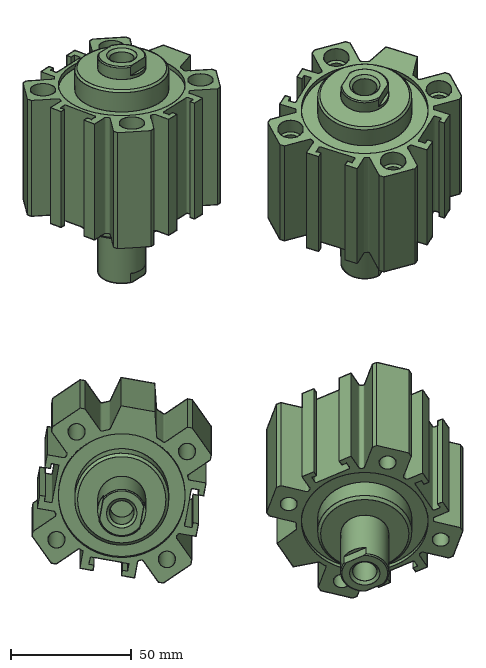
import cadquery as cq
import math

body_width = 67.0
body_height = 55.0
core_radius = 28.5
root_fillet = 0.8

lug_width = 16.9
lug_reach = 40.4
bolt_spacing = 46.6
bolt_dia = 7.0
bolt_head_dia = 10.5
bolt_head_depth = 6.7

rail_width = 23.1
slot_opening = 11.9
slot_width = 16.3
slot_lip = 2.4
slot_depth = 5.6
slot_fillet = 0.5

ridge_reach = 37.5
ridge_top_width = 14.2
ridge_root_width = 20.8
ridge_root_reach = 24.7

recess_dia = 52.5
recess_depth = 2.1
collar_dia = 39.0
collar_height = 8.0
top_collar_chamfer = 0.9
bottom_collar_chamfer = 1.2

rod_dia = 20.0
rod_length = 103.0
rod_top_reach = 6.0
rod_chamfer = 0.5
flat_width = 17.1
flat_length = 4.5
rod_hole_dia = 10.1
rod_hole_depth = 15.5
rod_hole_chamfer = 1.2
countersink_angle = 45

half_width = body_width / 2
slot_floor = half_width - slot_depth
rod_top = body_height + collar_height + rod_top_reach
rod_bottom = rod_top - rod_length


def cylinder(diameter, bottom, top):
    """Solid cylinder on the Z axis."""
    return cq.Workplane("XY").workplane(offset=bottom).circle(diameter / 2).extrude(top - bottom)


def make_lugs():
    """Two crossed diagonal bars, trimmed to the square body."""
    square = cq.Workplane("XY").rect(body_width, body_width).extrude(body_height)
    bar = cq.Workplane("XY").rect(2 * lug_reach, lug_width).extrude(body_height)
    rising_bar = bar.rotate((0, 0, 0), (0, 0, 1), 45)
    falling_bar = bar.rotate((0, 0, 0), (0, 0, 1), -45)
    return rising_bar.union(falling_bar).intersect(square)


def make_ridge():
    """Tapered ridge running the full height of the +Y side."""
    return (
        cq.Workplane("XY")
        .polyline([
            (-ridge_root_width / 2, 0),
            (-ridge_root_width / 2, ridge_root_reach),
            (-ridge_top_width / 2, ridge_reach),
            (ridge_top_width / 2, ridge_reach),
            (ridge_root_width / 2, ridge_root_reach),
            (ridge_root_width / 2, 0),
        ])
        .close()
        .extrude(body_height)
    )


def make_rail_block():
    """Solid block on the +X side that carries one slot."""
    block = cq.Workplane("XY").rect(half_width, rail_width).extrude(body_height)
    return block.translate((half_width / 2, 0, 0))


def make_rail_slot():
    """T-slot of the +X rail, with rounded corners along its floor."""
    inner_depth = slot_depth - slot_lip
    chamber = (
        cq.Workplane("XY")
        .rect(inner_depth, slot_width)
        .extrude(body_height)
        .edges("|Z and <X")
        .fillet(slot_fillet)
        .translate((slot_floor + inner_depth / 2, 0, 0))
    )
    mouth = (
        cq.Workplane("XY")
        .rect(slot_depth, slot_opening)
        .extrude(body_height)
        .translate((slot_floor + slot_depth / 2, 0, 0))
    )
    return chamber.union(mouth)


def on_rail_sides(shape):
    """Copies of a +X shape on the +X, -X and -Y sides."""
    return [shape.rotate((0, 0, 0), (0, 0, 1), angle) for angle in (0, 180, 270)]


def root_edges(body):
    """Vertical edges where lugs, rails and ridge leave the round core."""
    tolerance = 0.01
    return [
        edge
        for edge in body.edges("|Z").vals()
        if abs(math.hypot(edge.Center().x, edge.Center().y) - core_radius) < tolerance
    ]


def make_collar(chamfer):
    """Collar standing on Z = 0, tall enough to start at a recess floor, with its top rim chamfered."""
    collar = cylinder(collar_dia, 0, collar_height + recess_depth)
    return collar.faces(">Z").edges().chamfer(chamfer)


def make_bolt_holes():
    """Counterbored through hole for each corner lug, as solids to remove."""
    pattern = cq.Workplane("XY").rect(bolt_spacing, bolt_spacing, forConstruction=True).vertices()
    shanks = pattern.circle(bolt_dia / 2).extrude(body_height)
    heads = pattern.circle(bolt_head_dia / 2).extrude(bolt_head_depth)
    return shanks.union(heads.translate((0, 0, body_height - bolt_head_depth)))


def make_housing():
    """Cylinder housing: profiled body, end collars, bolt holes and rod bore."""
    housing = cylinder(2 * core_radius, 0, body_height).union(make_lugs()).union(make_ridge())
    for block in on_rail_sides(make_rail_block()):
        housing = housing.union(block)
    housing = housing.newObject(root_edges(housing)).fillet(root_fillet)
    for slot in on_rail_sides(make_rail_slot()):
        housing = housing.cut(slot)

    top_floor = body_height - recess_depth
    housing = housing.cut(cylinder(recess_dia, top_floor, body_height))
    housing = housing.cut(cylinder(recess_dia, 0, recess_depth))
    housing = housing.union(make_collar(top_collar_chamfer).translate((0, 0, top_floor)))
    bottom_collar = make_collar(bottom_collar_chamfer).mirror("XY").translate((0, 0, recess_depth))
    housing = housing.union(bottom_collar)

    housing = housing.cut(make_bolt_holes())
    return housing.cut(cylinder(rod_dia, rod_bottom, rod_top))


def make_rod_hole():
    """Blind hole with a countersunk mouth in the top end of the rod, as a solid to remove."""
    mouth_dia = rod_hole_dia + 2 * rod_hole_chamfer
    hole = cylinder(rod_hole_dia, rod_top - rod_hole_depth, rod_top)
    end_plane = cq.Workplane("XY").workplane(offset=rod_top)
    mouth = end_plane.circle(mouth_dia / 2).extrude(-rod_hole_chamfer, taper=countersink_angle)
    return hole.union(mouth)


def make_rod():
    """Piston rod with wrench flats and a countersunk blind hole at each end."""
    rod = cylinder(rod_dia, rod_bottom, rod_top).faces("<Z or >Z").edges().chamfer(rod_chamfer)

    envelope = cylinder(rod_dia, rod_bottom + flat_length, rod_top - flat_length)
    for end_start in (rod_bottom, rod_top - flat_length):
        wrench_end = cq.Workplane("XY").rect(flat_width, rod_dia).extrude(flat_length)
        envelope = envelope.union(wrench_end.translate((0, 0, end_start)))
    rod = rod.intersect(envelope)

    middle = (rod_top + rod_bottom) / 2
    top_hole = make_rod_hole()
    bottom_hole = top_hole.mirror("XY", (0, 0, middle))
    return rod.cut(top_hole).cut(bottom_hole)


housing = make_housing().solids()
rod = make_rod().solids()

result = cq.Compound.makeCompound([housing.val(), rod.val()])